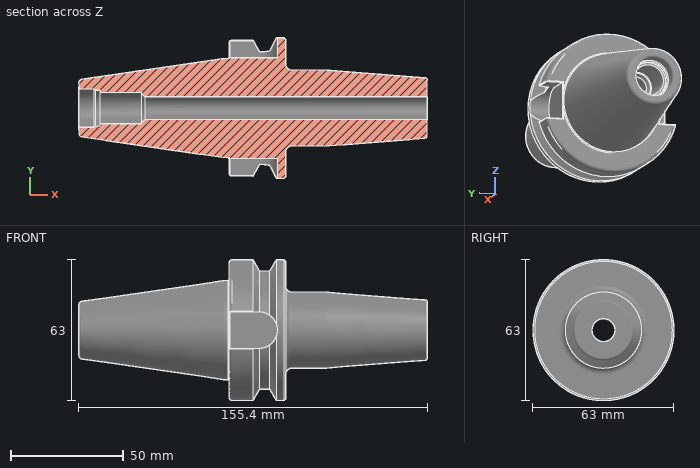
import cadquery as cq
import math

LENGTH = 155.4

SHANK_LARGE_RADIUS = 44.5 / 2
SHANK_TAPER_END = 65.0
SHANK_SMALL_RADIUS = SHANK_LARGE_RADIUS - SHANK_TAPER_END * 7 / 24 / 2
SHANK_END_FILLET = 1.7
SHANK_ROOT_FILLET = 0.5

FLANGE_START = 67.0
FLANGE_END = 92.3
FLANGE_RADIUS = 63.0 / 2
FLANGE_FILLET = 1.4
FLANGE_BACK_CHAMFER = 0.8
GROOVE_FLOOR_RADIUS = 26.4
GROOVE_FLOOR_START = 80.7
GROOVE_FLOOR_END = 85.2
GROOVE_SIDE_LENGTH = (FLANGE_RADIUS - GROOVE_FLOOR_RADIUS) * math.tan(math.radians(30))
FRONT_LAND_END = GROOVE_FLOOR_START - GROOVE_SIDE_LENGTH
BACK_LAND_START = GROOVE_FLOOR_END + GROOVE_SIDE_LENGTH

NECK_RADIUS = 34.0 / 2
NECK_ROOT_FILLET = 2.8
NECK_END = 110.5
NOSE_ANGLE = 4.5
NOSE_TIP_RADIUS = NECK_RADIUS - (LENGTH - NECK_END) * math.tan(math.radians(NOSE_ANGLE))
NOSE_TIP_FILLET = 1.0

SLOT_WIDTH = 16.3
SLOT_END = 88.6
SLOT_FLOOR_OFFSET = 22.5
SLOT_EDGE_CHAMFER = 0.39

MOUTH_FILLET = 1.01
PILOT_RADIUS = 17.0 / 2
PILOT_DEPTH = 6.8
RELIEF_RADIUS = 15.9 / 2
RELIEF_DEPTH = 9.5
THREAD_RADIUS = 13.8 / 2
THREAD_DEPTH = 28.0
THREAD_END_RADIUS = 13.0 / 2
THROUGH_RADIUS = 10.1 / 2

LARGEST_CIRCLE = cq.selectors.RadiusNthSelector(-1)


def circles_within(x, radius):
    """Selector for circular edges at station x that are no larger than radius."""
    margin = 0.02
    return cq.selectors.BoxSelector(
        (x - margin, -radius - margin, -radius - margin),
        (x + margin, radius + margin, radius + margin),
        boundingbox=True,
    )


def turned_body():
    outline = [
        (0, 0),
        (0, SHANK_SMALL_RADIUS),
        (SHANK_TAPER_END, SHANK_LARGE_RADIUS),
        (FLANGE_START, SHANK_LARGE_RADIUS),
        (FLANGE_START, FLANGE_RADIUS),
        (FRONT_LAND_END, FLANGE_RADIUS),
        (GROOVE_FLOOR_START, GROOVE_FLOOR_RADIUS),
        (GROOVE_FLOOR_END, GROOVE_FLOOR_RADIUS),
        (BACK_LAND_START, FLANGE_RADIUS),
        (FLANGE_END, FLANGE_RADIUS),
        (FLANGE_END, NECK_RADIUS),
        (NECK_END, NECK_RADIUS),
        (LENGTH, NOSE_TIP_RADIUS),
        (LENGTH, 0),
    ]
    body = cq.Workplane("XY").polyline(outline).close().revolve(360, (0, 0, 0), (1, 0, 0))

    rounded_edges = [
        (0, SHANK_SMALL_RADIUS, SHANK_END_FILLET),
        (FLANGE_START, SHANK_LARGE_RADIUS, SHANK_ROOT_FILLET),
        (FLANGE_START, FLANGE_RADIUS, FLANGE_FILLET),
        (FLANGE_END, NECK_RADIUS, NECK_ROOT_FILLET),
        (LENGTH, NOSE_TIP_RADIUS, NOSE_TIP_FILLET),
    ]
    flange_back_rim = body.edges(circles_within(FLANGE_END, FLANGE_RADIUS)).edges(LARGEST_CIRCLE)
    body = flange_back_rim.chamfer(FLANGE_BACK_CHAMFER)
    for x, radius, fillet in rounded_edges:
        body = body.edges(circles_within(x, radius)).edges(LARGEST_CIRCLE).fillet(fillet)
    return body


def drive_slot(side):
    """Round-ended cutter for one slot; side is -1 or +1 along Y."""
    round_centre = SLOT_END - SLOT_WIDTH / 2
    depth = FLANGE_RADIUS - SLOT_FLOOR_OFFSET
    middle = side * (SLOT_FLOOR_OFFSET + depth / 2)
    straight = cq.Workplane("XY").box(round_centre - FLANGE_START, depth, SLOT_WIDTH)
    straight = straight.translate(((round_centre + FLANGE_START) / 2, middle, 0))
    rounded = cq.Workplane("XZ").circle(SLOT_WIDTH / 2).extrude(depth / 2, both=True)
    return straight.union(rounded.translate((round_centre, middle, 0)))


def slot_edge_chamfers(side):
    """Cutter that bevels the slot's edges at the flange face and along the front land."""
    bevel = SLOT_EDGE_CHAMFER
    face_width = SLOT_WIDTH + 2 * bevel
    floor = SLOT_FLOOR_OFFSET
    height = FLANGE_RADIUS - floor
    middle = side * (floor + height / 2)
    face = (
        cq.Workplane("YZ", origin=(FLANGE_START, middle, 0))
        .rect(height + 2 * bevel, face_width)
        .workplane(offset=bevel)
        .rect(height, SLOT_WIDTH)
        .loft()
    )
    half = SLOT_WIDTH / 2
    corner = math.sqrt(FLANGE_RADIUS ** 2 - half ** 2)
    land = (
        cq.Workplane("YZ", origin=(FLANGE_START, 0, 0))
        .polyline([
            (side * (corner - bevel), half),
            (side * (corner + bevel), half + 2 * bevel),
            (side * (corner + bevel), -half - 2 * bevel),
            (side * (corner - bevel), -half),
        ])
        .close()
        .extrude(FRONT_LAND_END - FLANGE_START)
    )
    return face.union(land)


def stepped_bore():
    relief_start = PILOT_DEPTH + PILOT_RADIUS - RELIEF_RADIUS
    mid_arc = MOUTH_FILLET * (1 - math.sqrt(0.5))
    mouth = (
        cq.Workplane("XY")
        .moveTo(0, 0)
        .lineTo(0, PILOT_RADIUS + MOUTH_FILLET)
        .threePointArc((mid_arc, PILOT_RADIUS + mid_arc), (MOUTH_FILLET, PILOT_RADIUS))
    )
    steps = [
        (PILOT_DEPTH, PILOT_RADIUS),
        (relief_start, RELIEF_RADIUS),
        (RELIEF_DEPTH, RELIEF_RADIUS),
        (RELIEF_DEPTH, THREAD_RADIUS),
        (THREAD_DEPTH, THREAD_RADIUS),
        (THREAD_DEPTH, THREAD_END_RADIUS),
        (THREAD_DEPTH + THREAD_END_RADIUS - THROUGH_RADIUS, THROUGH_RADIUS),
        (LENGTH, THROUGH_RADIUS),
        (LENGTH, 0),
    ]
    return mouth.polyline(steps, includeCurrent=True).close().revolve(360, (0, 0, 0), (1, 0, 0))


result = turned_body().cut(stepped_bore())
for slot_side in (-1, 1):
    result = result.cut(drive_slot(slot_side))
    result = result.cut(slot_edge_chamfers(slot_side))